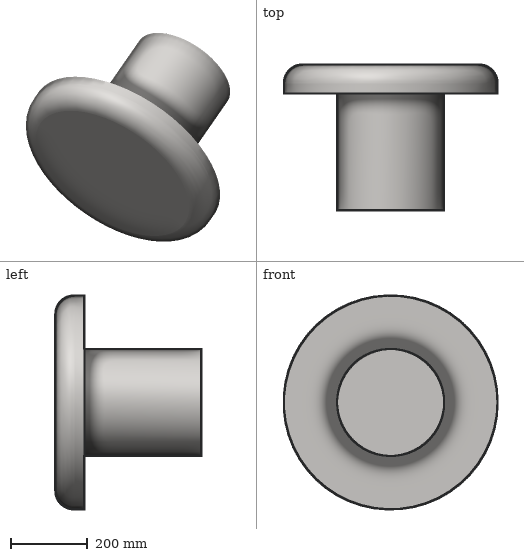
import cadquery as cq

disc_diameter = 559.0
stem_diameter = disc_diameter / 2
total_length = 381.0
disc_thickness = 76.0
edge_radius = 50.5
stem_length = total_length - disc_thickness


def make_disc():
    """Disc from Y = 0 to +Y, with its rear rim rounded."""
    disc = cq.Workplane("XZ").circle(disc_diameter / 2).extrude(-disc_thickness)
    return disc.faces(">Y").edges().fillet(edge_radius)


def make_stem():
    """Solid stem from the flat face of the disc toward -Y."""
    return cq.Workplane("XZ").circle(stem_diameter / 2).extrude(stem_length)


result = make_disc().union(make_stem())